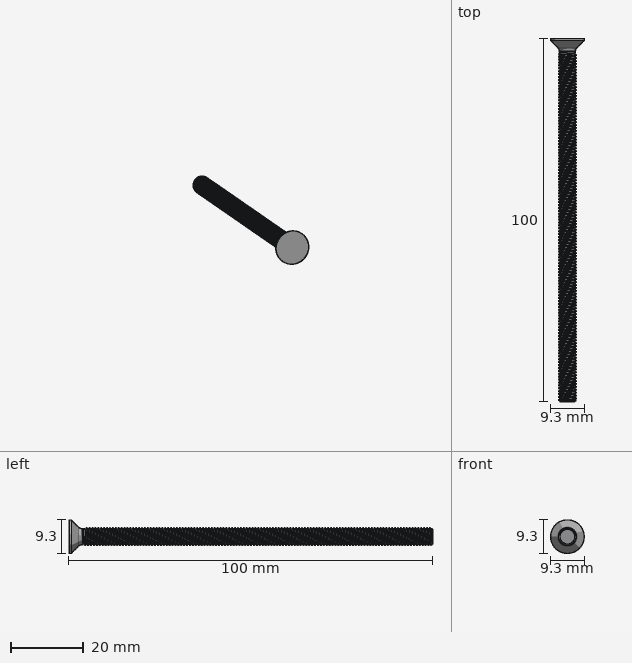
import cadquery as cq
import math

total_length = 100
head_diameter = 9.3
rim_height = 0.6
cone_angle = 90
neck_diameter = 4.5
neck_fillet = 1.3
full_thread_start = 4.3
thread_diameter = 5
thread_pitch = 0.8
flank_angle = 60
thread_lead = 0.53
spare_turns = 2
clearance = 0.1

half_flank_slope = math.tan(math.radians(flank_angle / 2))
sharp_height = thread_pitch / 2 / half_flank_slope
thread_depth = sharp_height * 17 / 24
root_flat = thread_pitch / 8
crest_flat = thread_pitch / 8
flank_width = thread_depth * half_flank_slope

head_radius = head_diameter / 2
neck_radius = neck_diameter / 2
crest_radius = thread_diameter / 2
root_radius = crest_radius - thread_depth
envelope_radius = crest_radius + clearance

half_cone = math.radians(cone_angle / 2)
cone_end = rim_height + (head_radius - neck_radius) / math.tan(half_cone)
fillet_tangent = neck_fillet * math.tan(half_cone / 2)
fillet_start_radius = neck_radius + fillet_tangent * math.sin(half_cone)
fillet_start = cone_end - fillet_tangent * math.cos(half_cone)
fillet_end = cone_end + fillet_tangent


def turned(outline):
    """Revolve a closed half outline, drawn in XY, about the screw axis."""
    return outline.close().revolve(360, (0, 0, 0), (0, 1, 0))


def head():
    outline = (
        cq.Workplane("XY")
        .lineTo(head_radius, 0)
        .lineTo(head_radius, -rim_height)
        .lineTo(fillet_start_radius, -fillet_start)
        .tangentArcPoint((neck_radius, -fillet_end), relative=False)
        .lineTo(0, -fillet_end)
    )
    return turned(outline)


def thread_envelope():
    """Limits of the thread: crests cut down to the neck near the head, chamfered at the tip."""
    chamfer = envelope_radius - root_radius
    outline = cq.Workplane("XY").polyline([
        (0, -fillet_end),
        (neck_radius, -fillet_end),
        (neck_radius, -full_thread_start),
        (envelope_radius, -full_thread_start),
        (envelope_radius, -total_length + chamfer),
        (root_radius, -total_length),
        (0, -total_length),
    ])
    return turned(outline)


def helical_rod(turns):
    """Right-hand threaded rod along +Z, skinned turn by turn and closed by helicoid ends."""
    profile = [
        (root_radius, 0),
        (root_radius, root_flat),
        (crest_radius, root_flat + flank_width),
        (crest_radius, root_flat + flank_width + crest_flat),
        (root_radius, thread_pitch),
    ]

    def one_turn(radius, height):
        return cq.Wire.makeHelix(thread_pitch, thread_pitch, radius, cq.Vector(0, 0, height)).Edges()[0]

    helices = [one_turn(radius, height) for radius, height in profile]
    strips = [cq.Face.makeRuledSurface(low, high) for low, high in zip(helices, helices[1:])]

    axis_line = cq.Edge.makeLine(cq.Vector(0, 0, 0), cq.Vector(0, 0, thread_pitch))
    ramp = cq.Face.makeRuledSurface(axis_line, helices[0])
    corners = [(0, 0)] + profile + [(0, thread_pitch)]
    step_points = [cq.Vector(radius, 0, height) for radius, height in corners]
    step = cq.Face.makeFromWires(cq.Wire.makePolygon(step_points, close=True))

    faces = []
    for turn in range(turns):
        rise = cq.Vector(0, 0, turn * thread_pitch)
        faces += [strip.translate(rise) for strip in strips]
    for end_height in (0, turns * thread_pitch):
        rise = cq.Vector(0, 0, end_height)
        faces += [ramp.translate(rise), step.translate(rise)]
    return cq.Solid.makeSolid(cq.Shell.makeShell(faces)).fix()


def threaded_shank():
    shank_turns = math.ceil((total_length - fillet_end) / thread_pitch)
    rod = helical_rod(shank_turns + 2 * spare_turns)
    rod_start = -total_length - spare_turns * thread_pitch + thread_lead
    rod = rod.rotate(cq.Vector(0, 0, 0), cq.Vector(1, 0, 0), -90).translate(cq.Vector(0, rod_start, 0))
    return thread_envelope().intersect(cq.Workplane(obj=rod))


result = head().union(threaded_shank()).solids()